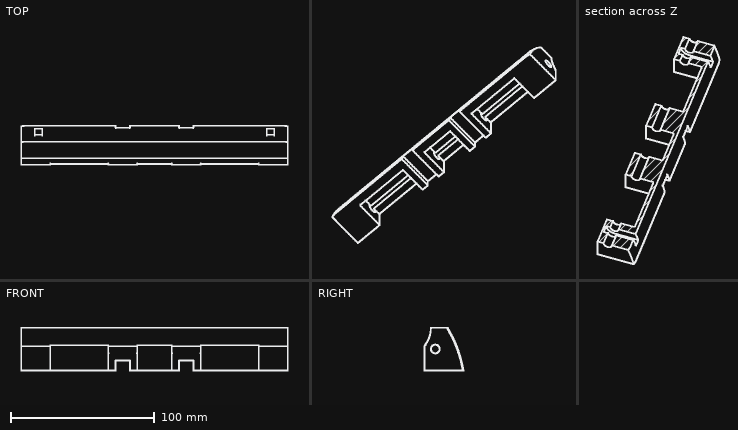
import cadquery as cq

length = 186.0
depth = 27.3
height = 30.0

front_wall_height = 17.1
top_front_y = 4.5
top_back_y = 16.2
back_bulge = 1.5
cove_radius = ((height - front_wall_height) ** 2 + top_front_y ** 2) / (2 * top_front_y)

bevel_length = 3.0
bevel_depth = 0.5

block_width = 20.5
foot_width = 20.0
foot_center_offset = 22.1
recess_height = 17.7
recess_depth = 20.5
slot_width = 10.0
slot_height = 6.9

bolt_diameter = 6.0
bolt_y = 7.6
bolt_z = 15.0
nut_pocket_center = 12.0
nut_pocket_width = 5.0
nut_pocket_height = 11.9


def section(x, inset=0.0):
    """Beam cross-section at x, with the back arc moved forward by inset."""
    cove_mid_z = (height + front_wall_height) / 2
    cove_rise = height - cove_mid_z
    cove_mid_y = top_front_y - cove_radius + (cove_radius ** 2 - cove_rise ** 2) ** 0.5
    run = depth - top_back_y
    chord = (run ** 2 + height ** 2) ** 0.5
    back_mid_y = (depth + top_back_y) / 2 + back_bulge * height / chord - inset
    back_mid_z = height / 2 + back_bulge * run / chord
    return (
        cq.Workplane("YZ", origin=(x, 0, 0))
        .moveTo(0, 0)
        .lineTo(depth - inset, 0)
        .threePointArc((back_mid_y, back_mid_z), (top_back_y - inset, height))
        .lineTo(top_front_y, height)
        .threePointArc((cove_mid_y, cove_mid_z), (0, front_wall_height))
        .close()
    )


def beveled_end(outer_x, inner_x):
    """End piece whose back tapers forward towards the outer face."""
    outer = section(outer_x, bevel_depth).val()
    inner = section(inner_x).val()
    return cq.Workplane(cq.Solid.makeLoft([outer, inner], True))


def box_between(x_start, x_end, y_start, y_end, z_start, z_end):
    size = (x_end - x_start, y_end - y_start, z_end - z_start)
    return cq.Workplane("XY", origin=(x_start, y_start, z_start)).box(*size, centered=False)


half_length = length / 2
bevel_x = half_length - bevel_length
result = section(-bevel_x).extrude(2 * bevel_x)
for side in (-1, 1):
    result = result.union(beveled_end(side * half_length, side * bevel_x))

foot_inner_x = foot_center_offset - foot_width / 2
foot_outer_x = foot_center_offset + foot_width / 2
block_inner_x = half_length - block_width
recess_spans = (
    (-block_inner_x, -foot_outer_x),
    (-foot_inner_x, foot_inner_x),
    (foot_outer_x, block_inner_x),
)
for x_start, x_end in recess_spans:
    result = result.cut(box_between(x_start, x_end, 0, recess_depth, 0, recess_height))

for foot_x in (-foot_center_offset, foot_center_offset):
    slot = box_between(
        foot_x - slot_width / 2, foot_x + slot_width / 2, 0, depth, 0, slot_height
    )
    result = result.cut(slot)

bolt_hole = (
    cq.Workplane("YZ", origin=(-half_length, 0, 0))
    .center(bolt_y, bolt_z)
    .circle(bolt_diameter / 2)
    .extrude(length)
)
result = result.cut(bolt_hole)

nut_radius = nut_pocket_height / 2
for side in (-1, 1):
    pocket_start_x = side * (half_length - nut_pocket_center) - nut_pocket_width / 2
    pocket = (
        cq.Workplane("YZ", origin=(pocket_start_x, 0, 0))
        .moveTo(depth, bolt_z - nut_radius)
        .lineTo(bolt_y, bolt_z - nut_radius)
        .threePointArc((bolt_y - nut_radius, bolt_z), (bolt_y, bolt_z + nut_radius))
        .lineTo(depth, bolt_z + nut_radius)
        .close()
        .extrude(nut_pocket_width)
    )
    result = result.cut(pocket)